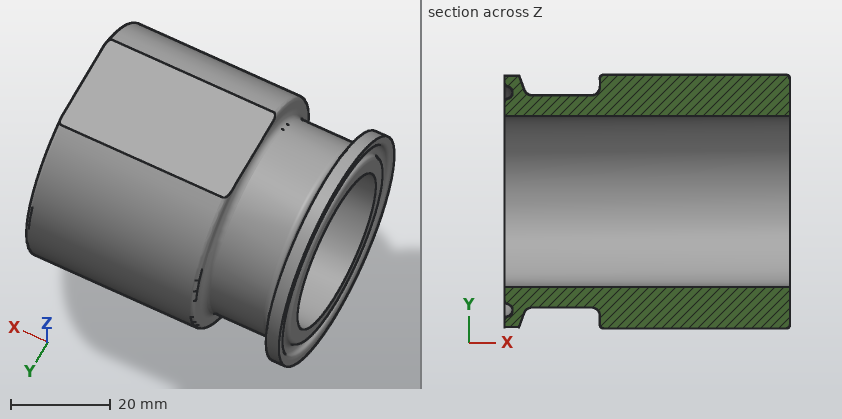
import cadquery as cq
import math

total_length = 57.15
bore_diameter = 34.14

flange_diameter = 50.39
flange_rim_width = 2.96
flange_back_angle = math.radians(20)

neck_diameter = 42.57
neck_fillet = 1.5875

body_diameter = 50.8
body_start = 19.05
body_edge_fillet = 0.85
flat_spacing = 45.72

groove_diameter = 43.6
groove_half_width = 2.0
groove_depth = 1.6
groove_lip_share = 0.4

flange_radius = flange_diameter / 2
neck_radius = neck_diameter / 2
body_radius = body_diameter / 2


def revolve_about_x(profile):
    return profile.revolve(360, (0, 0, 0), (1, 0, 0))


def make_flange_and_neck():
    """Flange rim, sloped back face and neck, with fillets into the neck at both ends."""
    slope_end = flange_rim_width + (flange_radius - neck_radius) * math.tan(flange_back_angle)
    corner_turn = math.pi / 2 - flange_back_angle
    tangent_length = neck_fillet * math.tan(corner_turn / 2)
    fillet_center_x = slope_end + tangent_length
    fillet_center_r = neck_radius + neck_fillet

    def on_flange_fillet(turn):
        x = fillet_center_x - neck_fillet * math.sin(turn)
        r = fillet_center_r - neck_fillet * math.cos(turn)
        return x, r

    body_fillet_start = body_start - neck_fillet
    body_fillet_middle = (
        body_fillet_start + neck_fillet * math.sin(math.pi / 4),
        fillet_center_r - neck_fillet * math.cos(math.pi / 4),
    )
    profile = (
        cq.Workplane("XY")
        .lineTo(0, flange_radius)
        .lineTo(flange_rim_width, flange_radius)
        .lineTo(*on_flange_fillet(corner_turn))
        .threePointArc(on_flange_fillet(corner_turn / 2), on_flange_fillet(0))
        .lineTo(body_fillet_start, neck_radius)
        .threePointArc(body_fillet_middle, (body_start, fillet_center_r))
        .lineTo(body_start, 0)
        .close()
    )
    return revolve_about_x(profile)


def make_body():
    """Cylinder with rounded end edges, cut to two flats facing +Z and -Z."""
    body_length = total_length - body_start
    cylinder = (
        cq.Workplane("YZ", origin=(body_start, 0, 0))
        .circle(body_radius)
        .extrude(body_length)
        .edges("%CIRCLE")
        .fillet(body_edge_fillet)
    )
    between_flats = cq.Workplane("XY").box(
        body_length, body_diameter, flat_spacing, centered=(False, True, True)
    )
    return cylinder.intersect(between_flats.translate((body_start, 0, 0)))


def make_gasket_groove():
    """Ring cutter: a round-bottomed groove whose two lips are rounded into the flange face."""
    groove_radius = groove_diameter / 2
    wall_turn = 2 * math.atan(groove_depth / groove_half_width)
    lip_width = groove_lip_share * groove_half_width
    floor_half_width = groove_half_width - lip_width
    lip_round = lip_width / math.sin(wall_turn)

    def on_lip(side, turn):
        x = lip_round * (1 - math.cos(turn))
        r = groove_radius + side * (groove_half_width - lip_round * math.sin(turn))
        return x, r

    lip_depth, inner_join_r = on_lip(-1, wall_turn)
    profile = (
        cq.Workplane("XY")
        .moveTo(*on_lip(-1, 0))
        .threePointArc(on_lip(-1, wall_turn / 2), (lip_depth, inner_join_r))
        .threePointArc(
            (groove_depth, groove_radius),
            (lip_depth, groove_radius + floor_half_width),
        )
        .threePointArc(on_lip(1, wall_turn / 2), on_lip(1, 0))
        .close()
    )
    return revolve_about_x(profile)


def make_bore():
    return cq.Workplane("YZ").circle(bore_diameter / 2).extrude(total_length)


result = make_flange_and_neck().union(make_body()).cut(make_gasket_groove()).cut(make_bore())